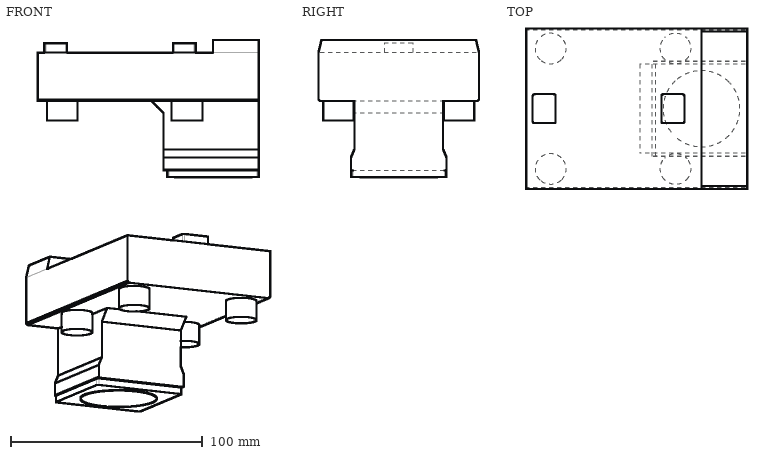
import cadquery as cq

PLATE_LENGTH = 115.5
PLATE_WIDTH = 84.0
PLATE_HEIGHT = 25.3
PLATE_CHAMFER = 0.9

RAIL_LENGTH = 24.0
RAIL_HEIGHT = 6.7
RAIL_SIDE_INSET = 1.6

PAD_LENGTH = 12.0
PAD_WIDTH = 15.1
PAD_HEIGHT = 5.0
PAD_CENTERS_X = (9.5, 76.6)
CORNER_RADIUS = 0.9

PIN_DIAMETER = 16.0
PIN_LENGTH = 10.2
PIN_CENTERS_X = (12.8, 78.0)
PIN_OFFSET_Y = 31.4

STEM_LENGTH = 49.9
STEM_WIDTH = 46.4
STEM_BRACE = 6.1
FOOT_WIDTH = 50.0
FLARE_TOP_Z = -25.2
FLARE_BOTTOM_Z = -29.5
FOOT_BOTTOM_Z = -36.2
FOOT_CHAMFER = 0.3

BASE_LENGTH = 47.9
BASE_WIDTH = 49.7
BASE_HEIGHT = 3.5
DISC_DIAMETER = 40.0
DISC_HEIGHT = 0.3


def rounded_block(length, width, height, center_x, bottom_z):
    """Block centred on Y with rounded vertical edges."""
    block = cq.Workplane("XY").box(length, width, height, centered=(True, True, False))
    return block.edges("|Z").fillet(CORNER_RADIUS).translate((center_x, 0, bottom_z))


def make_plate():
    plate = cq.Workplane("XY").box(PLATE_LENGTH, PLATE_WIDTH, PLATE_HEIGHT, centered=(False, True, False))
    return plate.edges("|X and <Z").chamfer(PLATE_CHAMFER)


def make_rail():
    base_half = PLATE_WIDTH / 2
    top_half = base_half - RAIL_SIDE_INSET
    top_z = PLATE_HEIGHT + RAIL_HEIGHT
    return (
        cq.Workplane("YZ", origin=(PLATE_LENGTH - RAIL_LENGTH, 0, 0))
        .polyline([(-base_half, PLATE_HEIGHT), (base_half, PLATE_HEIGHT), (top_half, top_z), (-top_half, top_z)])
        .close()
        .extrude(RAIL_LENGTH)
    )


def make_pins():
    centers = [(x, y) for x in PIN_CENTERS_X for y in (-PIN_OFFSET_Y, PIN_OFFSET_Y)]
    return cq.Workplane("XY").pushPoints(centers).circle(PIN_DIAMETER / 2).extrude(-PIN_LENGTH)


def make_stem():
    """Flared cross-section along X, with a 45 degree brace where it meets the plate."""
    stem_half = STEM_WIDTH / 2
    foot_half = FOOT_WIDTH / 2
    stem_left = PLATE_LENGTH - STEM_LENGTH
    stem = (
        cq.Workplane("YZ", origin=(stem_left, 0, 0))
        .moveTo(0, 0)
        .lineTo(stem_half, 0)
        .lineTo(stem_half, FLARE_TOP_Z)
        .lineTo(foot_half, FLARE_BOTTOM_Z)
        .lineTo(foot_half, FOOT_BOTTOM_Z + FOOT_CHAMFER)
        .lineTo(foot_half - FOOT_CHAMFER, FOOT_BOTTOM_Z)
        .lineTo(0, FOOT_BOTTOM_Z)
        .mirrorY()
        .extrude(STEM_LENGTH)
    )
    brace = (
        cq.Workplane("XZ")
        .polyline([(stem_left - STEM_BRACE, 0), (stem_left, 0), (stem_left, -STEM_BRACE)])
        .close()
        .extrude(stem_half, both=True)
    )
    return stem.union(brace)


def make_base():
    center_x = PLATE_LENGTH - BASE_LENGTH / 2
    bottom_z = FOOT_BOTTOM_Z - BASE_HEIGHT
    base = rounded_block(BASE_LENGTH, BASE_WIDTH, BASE_HEIGHT, center_x, bottom_z)
    disc = cq.Workplane("XY", origin=(center_x, 0, bottom_z)).circle(DISC_DIAMETER / 2).extrude(-DISC_HEIGHT)
    return base.union(disc)


result = make_plate().union(make_rail()).union(make_pins()).union(make_stem()).union(make_base())
for pad_x in PAD_CENTERS_X:
    result = result.union(rounded_block(PAD_LENGTH, PAD_WIDTH, PAD_HEIGHT, pad_x, PLATE_HEIGHT))